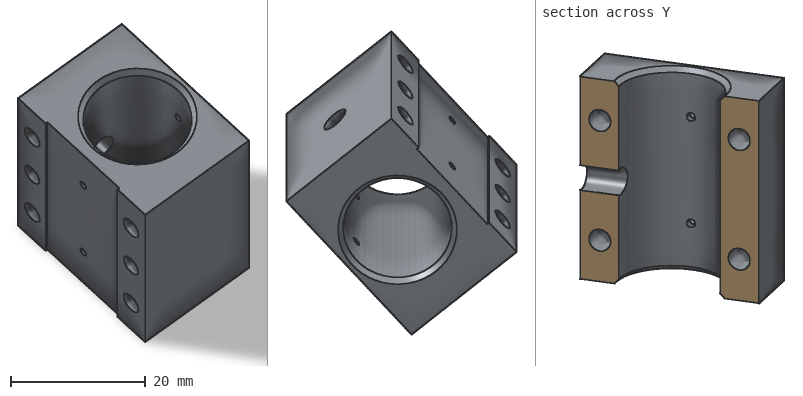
import cadquery as cq
import math

width = 28.58
depth = 20.6
height = 32.25
front_y = -11.1
back_y = front_y + depth

bore_diameter = 16.13
bore_chamfer = 0.77

channel_width = bore_diameter
channel_depth = 0.35

mount_x = 11.1
mount_z = 9.52
mount_diameter = 3.35
blind_diameter = 3.23
blind_depth = 6.45
drill_tip_angle = 118.0
pin_z = 8.45
pin_diameter = 1.3

side_diameter = 4.2


def through_hole(x, z, diameter):
    """Cylinder along Y through the whole depth of the block."""
    return cq.Workplane("XZ", origin=(x, back_y, z)).circle(diameter / 2).extrude(depth)


def blind_hole(x):
    """Drilled hole with a conical tip, entering from the front face at mid height."""
    radius = blind_diameter / 2
    tip_length = radius / math.tan(math.radians(drill_tip_angle / 2))
    return (
        cq.Workplane("XY", origin=(x, front_y, 0))
        .lineTo(radius, 0)
        .lineTo(radius, blind_depth)
        .lineTo(0, blind_depth + tip_length)
        .close()
        .revolve(360, (0, 0, 0), (0, 1, 0))
    )


block = cq.Workplane("XY").box(width, depth, height).translate((0, front_y + depth / 2, 0))

bore = cq.Workplane("XY").circle(bore_diameter / 2).extrude(height / 2, both=True)
block = block.cut(bore)
block = block.edges("%CIRCLE").chamfer(bore_chamfer)

channel = cq.Workplane("XY").box(channel_width, 2 * channel_depth, height).translate((0, front_y, 0))
block = block.cut(channel)

for side in (-1, 1):
    block = block.cut(blind_hole(side * mount_x))
    block = block.cut(through_hole(0, side * pin_z, pin_diameter))
    for end in (-1, 1):
        block = block.cut(through_hole(side * mount_x, end * mount_z, mount_diameter))

side_hole = cq.Workplane("YZ", origin=(-width / 2, 0, 0)).circle(side_diameter / 2).extrude(width / 2)
result = block.cut(side_hole)